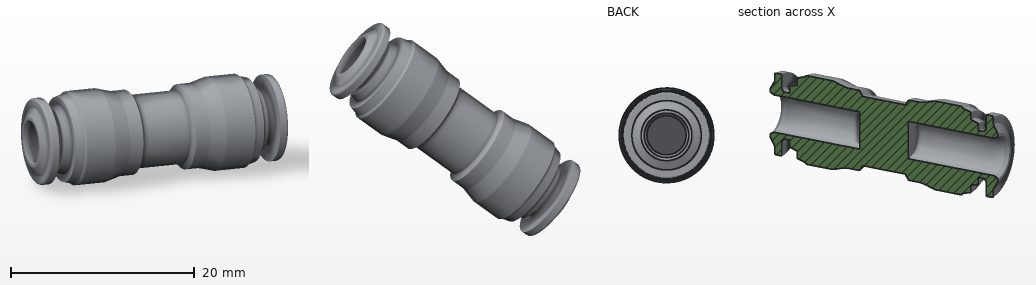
import cadquery as cq
import math

length = 28.8
half_length = length / 2

nose_end_radius = 2.76
nose_base_radius = 3.77
nose_length = 0.58
rim_radius = 4.75
rim_round = 0.25
rim_back = 1.53
neck_radius = 2.75
neck_fillet = 0.43

collar_start = 2.48
collar_front_radius = 3.55
collar_back_radius = 3.83

lip_start = 3.4
lip_front_radius = 4.67
lip_back_radius = 4.92
grip_radius = 5.15
grip_chamfer = grip_radius - lip_back_radius
grip_start = 4.6
grip_end = 7.92
shoulder_radius = 4.67
shoulder_start = 9.73
shoulder_end = 11.32
waist_radius = 4.03
waist_start = 11.72

mouth_radius = 2.42
socket_radius = 2.13
mouth_depth = 0.5
socket_depth = shoulder_end


def from_end(radius, distance):
    """Point of the half profile at a radius and a distance in from the -Y end."""
    return (radius, distance - half_length)


def round_middle(center_radius, center_distance, size, radial_sign, axial_sign):
    """Middle point of a quarter arc, in the quadrant given by the two signs."""
    offset = size * math.sqrt(0.5)
    return from_end(center_radius + radial_sign * offset, center_distance + axial_sign * offset)


def make_half():
    """One end of the coupling, from its end face to mid-length, including its socket."""
    rim_middle = round_middle(rim_radius - rim_round, nose_length + rim_round, rim_round, 1, -1)
    neck_middle = round_middle(neck_radius + neck_fillet, rim_back + neck_fillet, neck_fillet, -1, -1)
    return (
        cq.Workplane("XY")
        .moveTo(*from_end(mouth_radius, 0))
        .lineTo(*from_end(nose_end_radius, 0))
        .lineTo(*from_end(nose_base_radius, nose_length))
        .lineTo(*from_end(rim_radius - rim_round, nose_length))
        .threePointArc(rim_middle, from_end(rim_radius, nose_length + rim_round))
        .lineTo(*from_end(rim_radius, rim_back))
        .lineTo(*from_end(neck_radius + neck_fillet, rim_back))
        .threePointArc(neck_middle, from_end(neck_radius, rim_back + neck_fillet))
        .lineTo(*from_end(neck_radius, collar_start))
        .lineTo(*from_end(collar_front_radius, collar_start))
        .lineTo(*from_end(collar_back_radius, lip_start))
        .lineTo(*from_end(lip_front_radius, lip_start))
        .lineTo(*from_end(lip_back_radius, grip_start - grip_chamfer))
        .lineTo(*from_end(grip_radius, grip_start))
        .lineTo(*from_end(grip_radius, grip_end))
        .lineTo(*from_end(shoulder_radius, shoulder_start))
        .lineTo(*from_end(shoulder_radius, shoulder_end))
        .lineTo(*from_end(waist_radius, waist_start))
        .lineTo(*from_end(waist_radius, half_length))
        .lineTo(*from_end(0, half_length))
        .lineTo(*from_end(0, socket_depth))
        .lineTo(*from_end(socket_radius, socket_depth))
        .lineTo(*from_end(socket_radius, mouth_depth))
        .close()
        .revolve(360, (0, 0, 0), (0, 1, 0))
    )


half = make_half()
result = half.union(half.mirror("XZ")).clean()